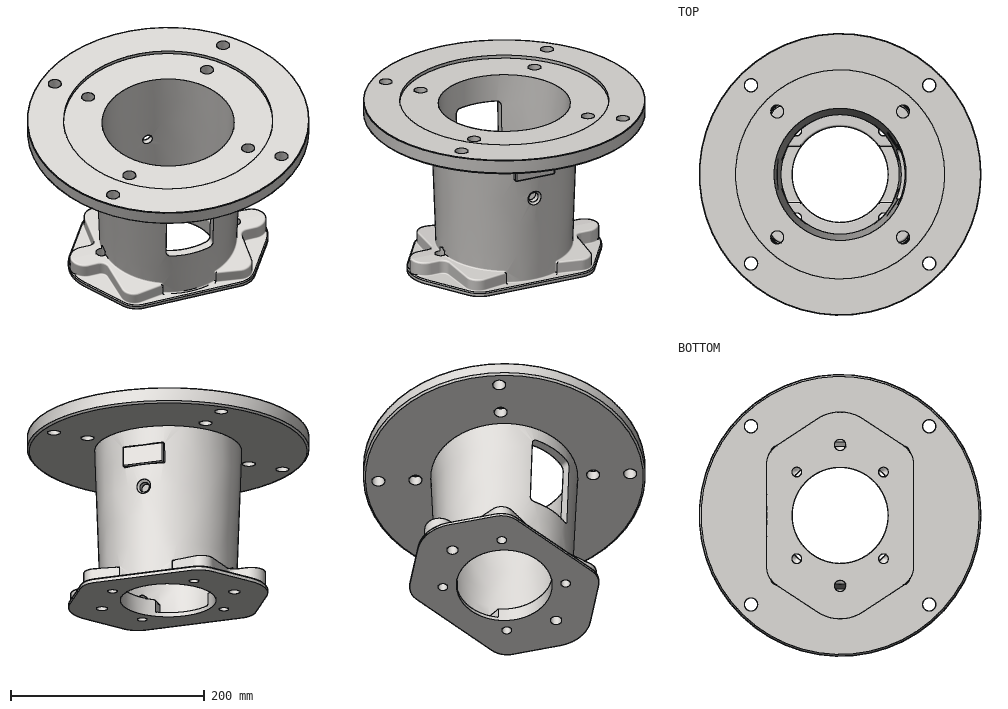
import cadquery as cq
import math

height = 181.0

flange_radius = 146.0
flange_thickness = 16.5
flange_top_chamfer = 0.5
flange_bottom_chamfer = 2.0
recess_radius = 108.5
recess_depth = 3.5
flange_hole_radius = 6.7
outer_hole_offset = 92.3
inner_hole_offset = 65.0

body_top_radius = 76.2
body_bottom_radius = 70.5
bore_top_radius = 68.5
bore_bottom_radius = 61.0

plate_thickness = 4.7
plate_chamfer = 1.2
plate_corner_radius = 23.5
plate_corner_offset = 53.0
plate_tip_radius = 42.5
plate_tip_reach = 107.2

pad_ridge_z = 20.2
pad_slope_degrees = 2.1
pad_edge_fillet = 1.8
foot_fillet = 1.2
pad_inner_y = 29.0
pad_side_x = 67.2
pad_corner_x = 74.5
pad_corner_y = 70.0
pad_neck_y = 74.2
pad_corner_radius = 13.7
pad_neck_radius = 8.0
lobe_radius = 15.5
lobe_center_y = 91.0

pilot_radius = 49.7
two_bolt_offset = 73.0
two_bolt_radius = 5.8
four_bolt_offset = 45.0
four_bolt_radius = 5.0
drill_depth = 24.2
drill_point_degrees = 118.0

window_half_width = 25.7
window_bottom = 57.0
window_top = 148.0
window_corner_radius = 5.0
side_hole_z = 100.2
side_hole_radius = 5.3
side_hole_rim_radius = 8.0
side_hole_lead = 1.5

nameplate_half_width = 22.5
nameplate_bottom = 124.0
nameplate_top = 146.0
nameplate_face_x = 76.2
nameplate_corner_radius = 1.8
nameplate_chamfer = 1.2

flange_bottom = height - flange_thickness

match_tolerance = 0.05


def square_pattern(offset):
    return [(sx * offset, sy * offset) for sx in (-1, 1) for sy in (-1, 1)]


def body_radius_at(z):
    return body_bottom_radius + (body_top_radius - body_bottom_radius) * z / flange_bottom


def cone(bottom_radius, top_radius, z_bottom, z_top):
    """Frustum about the Z axis."""
    frustum = cq.Solid.makeCone(
        bottom_radius, top_radius, z_top - z_bottom, cq.Vector(0, 0, z_bottom)
    )
    return cq.Workplane(obj=frustum)


def make_flange():
    flange = cq.Workplane().workplane(offset=flange_bottom).circle(flange_radius).extrude(flange_thickness)
    flange = flange.faces(">Z").edges().chamfer(flange_top_chamfer)
    flange = flange.faces("<Z").edges().chamfer(flange_bottom_chamfer)
    recess = cq.Workplane().workplane(offset=height - recess_depth).circle(recess_radius).extrude(recess_depth)
    holes = (
        cq.Workplane()
        .workplane(offset=flange_bottom)
        .pushPoints(square_pattern(outer_hole_offset) + square_pattern(inner_hole_offset))
        .circle(flange_hole_radius)
        .extrude(flange_thickness)
    )
    return flange.cut(recess).cut(holes)


def make_plate():
    """Six-sided plate with rounded corners: lines tangent to four corner arcs and two tip arcs."""
    tip_center = plate_tip_reach - plate_tip_radius
    run = plate_corner_offset
    rise = tip_center - plate_corner_offset
    radius_gap = plate_tip_radius - plate_corner_radius
    normal = math.asin(radius_gap / math.hypot(run, rise)) + math.atan2(rise, run)
    half = (normal + math.pi / 2) / 2

    def on_arc(x, y, radius, angle):
        return (x + radius * math.sin(angle), y + radius * math.cos(angle))

    def corner(angle):
        return on_arc(plate_corner_offset, plate_corner_offset, plate_corner_radius, angle)

    quarter = (
        cq.Workplane()
        .lineTo(0, plate_tip_reach)
        .threePointArc(
            on_arc(0, tip_center, plate_tip_radius, normal / 2),
            on_arc(0, tip_center, plate_tip_radius, normal),
        )
        .lineTo(*corner(normal))
        .threePointArc(corner(half), corner(math.pi / 2))
        .lineTo(plate_corner_offset + plate_corner_radius, 0)
        .close()
        .extrude(plate_thickness)
    )
    half_plate = quarter.union(quarter.mirror("YZ"))
    plate = half_plate.union(half_plate.mirror("XZ")).clean()
    return plate.faces(">Z").edges().chamfer(plate_chamfer)


def make_pad_roof():
    """Prism whose two top planes fall away from a ridge along the Y axis."""
    eaves_z = pad_ridge_z - pad_corner_x * math.tan(math.radians(pad_slope_degrees))
    return (
        cq.Workplane("XZ")
        .moveTo(-pad_corner_x, 0)
        .lineTo(-pad_corner_x, eaves_z)
        .lineTo(0, pad_ridge_z)
        .lineTo(pad_corner_x, eaves_z)
        .lineTo(pad_corner_x, 0)
        .close()
        .extrude(-plate_tip_reach)
    )


def make_pad():
    """Pad on the +Y half of the plate: two rounded corners and a bolt lobe between them."""
    pad = (
        cq.Workplane()
        .moveTo(-pad_side_x, pad_inner_y)
        .lineTo(-pad_corner_x, pad_corner_y)
        .lineTo(-lobe_radius, pad_neck_y)
        .lineTo(-lobe_radius, lobe_center_y)
        .threePointArc((0, lobe_center_y + lobe_radius), (lobe_radius, lobe_center_y))
        .lineTo(lobe_radius, pad_neck_y)
        .lineTo(pad_corner_x, pad_corner_y)
        .lineTo(pad_side_x, pad_inner_y)
        .close()
        .extrude(pad_ridge_z)
    )

    def upright_edges(x, y):
        def is_at_point(edge):
            center = edge.Center()
            return math.hypot(abs(center.x) - x, center.y - y) < match_tolerance

        return pad.edges("|Z").filter(is_at_point)

    pad = upright_edges(pad_corner_x, pad_corner_y).fillet(pad_corner_radius)
    pad = upright_edges(lobe_radius, pad_neck_y).fillet(pad_neck_radius)
    pilot = cq.Workplane().circle(pilot_radius).extrude(pad_ridge_z)
    pad = pad.cut(pilot).intersect(make_pad_roof())

    def on_top_rim(edge):
        """True for the edges around the sloping top, but not for its ridge."""
        box = edge.BoundingBox()
        return box.zmin > pad_ridge_z / 2 and box.xlen > match_tolerance

    return pad.edges().filter(on_top_rim).fillet(pad_edge_fillet)


def make_foot():
    pad = make_pad()
    pilot = cq.Workplane().circle(pilot_radius).extrude(plate_thickness)
    foot = make_plate().cut(pilot).union(pad).union(pad.mirror("XZ"))
    pad_walls = foot.faces("#Z").filter(lambda face: face.BoundingBox().zmin > plate_thickness / 2)
    return pad_walls.edges("<Z").fillet(foot_fillet)


def make_bolt_hole(x, y, radius):
    """Blind hole drilled upward from the bottom face, ending in a drill point."""
    point_height = radius / math.tan(math.radians(drill_point_degrees / 2))
    hole = cq.Workplane().circle(radius).extrude(drill_depth)
    point = cone(radius, 0, drill_depth, drill_depth + point_height)
    return hole.union(point).translate((x, y, 0))


def make_window():
    middle = (window_bottom + window_top) / 2
    return (
        cq.Workplane("YZ")
        .center(0, middle)
        .rect(2 * window_half_width, window_top - window_bottom)
        .extrude(body_top_radius)
        .edges("|X")
        .fillet(window_corner_radius)
    )


def make_side_hole():
    """Hole through the -X wall with a 45 degree rim."""
    body_radius = body_radius_at(side_hole_z)
    rim_depth = side_hole_rim_radius - side_hole_radius
    return (
        cq.Workplane("XZ", origin=(-body_radius, 0, side_hole_z))
        .moveTo(-side_hole_lead, 0)
        .lineTo(-side_hole_lead, side_hole_rim_radius)
        .lineTo(0, side_hole_rim_radius)
        .lineTo(rim_depth, side_hole_radius)
        .lineTo(body_radius, side_hole_radius)
        .lineTo(body_radius, 0)
        .close()
        .revolve(360, (0, 0, 0), (1, 0, 0))
    )


def make_nameplate():
    middle = (nameplate_bottom + nameplate_top) / 2
    return (
        cq.Workplane("YZ", origin=(-nameplate_face_x, 0, middle))
        .rect(2 * nameplate_half_width, nameplate_top - nameplate_bottom)
        .extrude(nameplate_face_x)
        .edges("|X")
        .fillet(nameplate_corner_radius)
        .faces("<X")
        .edges()
        .chamfer(nameplate_chamfer)
    )


def make_hub():
    """Hollow tapered body with the top flange, the nameplate and the side openings."""
    body = cone(body_bottom_radius, body_top_radius, 0, flange_bottom)
    bore = cone(bore_bottom_radius, bore_top_radius, 0, height)
    hub = body.cut(bore).cut(make_side_hole()).cut(make_window())
    return hub.union(make_flange().cut(bore)).union(make_nameplate().cut(bore))


def on_body_foot(edge):
    """True for an edge where the outside of the body meets the pads or the plate."""
    for position in (0.1, 0.5, 0.9):
        point = edge.positionAt(position)
        if not plate_thickness / 2 < point.z < pad_ridge_z + foot_fillet:
            return False
        if abs(math.hypot(point.x, point.y) - body_radius_at(point.z)) > match_tolerance:
            return False
    return True


result = make_hub().union(make_foot())
result = result.edges().filter(on_body_foot).fillet(foot_fillet)

for side in (-1, 1):
    result = result.cut(make_bolt_hole(0, side * two_bolt_offset, two_bolt_radius))
for hole_x, hole_y in square_pattern(four_bolt_offset):
    result = result.cut(make_bolt_hole(hole_x, hole_y, four_bolt_radius))